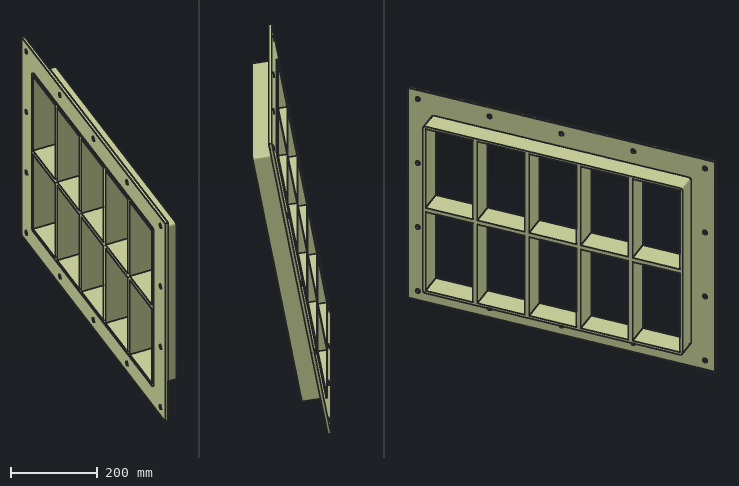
import cadquery as cq

flange_width = 774.5
flange_height = 580.0
flange_thickness = 8.0

total_depth = 60.0
front_lip = 2.0
flange_border = 60.0
frame_width = flange_width - 2 * flange_border
frame_height = flange_height - 2 * flange_border
frame_corner_radius = 7.0

columns = 5
rows = 2
wall_thickness = 7.0
bar_thickness = 12.0
window_width = (frame_width - 2 * wall_thickness - (columns - 1) * bar_thickness) / columns
window_height = (frame_height - 2 * wall_thickness - (rows - 1) * bar_thickness) / rows

hole_diameter = 11.0
hole_margin = 25.0
holes_along_width = 5
holes_along_height = 4
hole_pitch_x = (flange_width - 2 * hole_margin) / (holes_along_width - 1)
hole_pitch_z = (flange_height - 2 * hole_margin) / (holes_along_height - 1)


def block(width, depth, height, front_y):
    """Box centred on X and Z, reaching from front_y toward +Y."""
    return cq.Workplane("XY").box(width, depth, height).translate((0, front_y + depth / 2, 0))


def bolt_hole_points():
    """Evenly spaced positions along the four edges, corners included."""
    points = []
    for i in range(holes_along_width):
        for j in range(holes_along_height):
            if i in (0, holes_along_width - 1) or j in (0, holes_along_height - 1):
                x = hole_margin - flange_width / 2 + i * hole_pitch_x
                z = hole_margin - flange_height / 2 + j * hole_pitch_z
                points.append((x, z))
    return points


def bolt_holes():
    return (
        cq.Workplane("XZ")
        .pushPoints(bolt_hole_points())
        .circle(hole_diameter / 2)
        .extrude(-total_depth)
    )


def windows():
    return (
        cq.Workplane("XZ")
        .rarray(window_width + bar_thickness, window_height + bar_thickness, columns, rows)
        .rect(window_width, window_height)
        .extrude(-total_depth)
    )


flange = block(flange_width, flange_thickness, flange_height, front_lip)
frame = block(frame_width, total_depth, frame_height, 0).edges("|Y").fillet(frame_corner_radius)

result = flange.union(frame).cut(windows()).cut(bolt_holes())